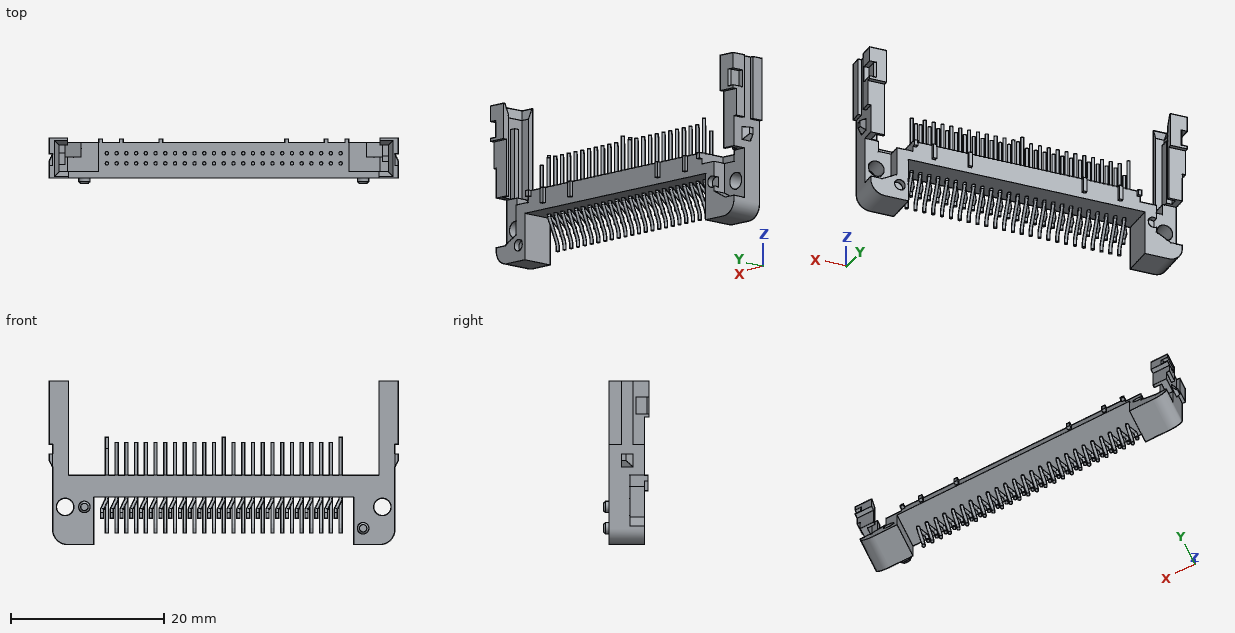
import cadquery as cq


body_half = 22.35
body_depth = 4.65
frame_top = 21.35
bar_bottom = 6.2
bar_top = 9.05
arm_inner = 20.25
arm_back_inner = 20.35
leg_inner = 16.95
leg_corner_radius = 1.95

pad_thickness = 0.45
pad_outer = body_half + pad_thickness
pad_bottom = 13.1
pad_gap_front = 1.65
pad_gap_back = 3.15
flange_depth = 5.25
flange_bottom = 16.65
channel_outer = 21.45
channel_front = 0.8
channel_back = 4.3
channel_floor = bar_top
funnel_widening = 0.65
funnel_depth = 1.5
notch_bottom = 17.05
notch_top = 19.28
notch_front = 3.5
notch_floor = 22.1
notch_bevel = 0.27
key_inner = 20.7
key_top = 18.35
left_key_span = (1.8, 3.3)
right_key_span = (2.2, 2.85)

latch_bottom = 10.1
latch_top = 11.85
latch_flat_bottom = 11.0
latch_flat_back = 2.25

housing_half = 16.3
pocket_floor = 7.55
side_cut_front = 2.75
side_cut_inner = 18.6
foot_top = 2.45
foot_ramp_top = 3.6

hole_x = 20.7
hole_z = 4.9
hole_diameter = 2.25
left_peg_place = (-18.2, hole_z)
right_peg_place = (18.2, 2.15)
peg_diameter = 1.5
peg_length = 0.75
peg_chamfer = 0.27
peg_socket_depth = 0.8

rib_back = 5.1
rib_width = 0.5
end_rib_bottom = 8.3
inner_rib_bottom = 7.0
inner_rib_places = (8.2, 13.35)

pins_per_row = 25
pin_row_length = 30.5
pin_pitch = pin_row_length / (pins_per_row - 1)
pin_diameter = 0.435
front_row_y = 1.9
back_row_y = 3.25
pin_top = 13.35
long_pin_top = 14.05
short_pin_top = 12.55
middle_pin = pins_per_row // 2
last_pin = pins_per_row - 1
front_row_tops = {0: short_pin_top, middle_pin: long_pin_top, last_pin: long_pin_top}
back_row_tops = {0: long_pin_top, middle_pin: long_pin_top, last_pin: short_pin_top}
tail_root_z = 5.92
front_tail_bend = (0.45, 2.7)
front_tail_foot = (0.3, 2.1)
front_tail_end_z = 1.5
back_jog_z = 7.75
back_tail_root_y = 1.65
back_tail_shift = -pin_pitch / 2
back_tail_bend = (0.8, 4.6)
back_tail_foot = (0.27, 4.1)
back_tail_end_z = 3.4


def block(x_span, y_span, z_span):
    """A box between two limits along each axis."""
    (x0, x1), (y0, y1), (z0, z1) = x_span, y_span, z_span
    return cq.Workplane("XY").box(x1 - x0, y1 - y0, z1 - z0, centered=False).translate((x0, y0, z0))


def right_and_left(shape):
    """A shape made for the +X side, together with its mirror image."""
    return shape.union(shape.mirror("YZ"))


def frame_plate():
    """The extruded outline: legs, crossbar and arms."""
    outline = [
        (-body_half, 0),
        (-leg_inner, 0),
        (-leg_inner, bar_bottom),
        (leg_inner, bar_bottom),
        (leg_inner, 0),
        (body_half, 0),
        (body_half, frame_top),
        (arm_inner, frame_top),
        (arm_inner, bar_top),
        (-arm_inner, bar_top),
        (-arm_inner, frame_top),
        (-body_half, frame_top),
    ]
    plate = cq.Workplane("XZ").polyline(outline).close().extrude(-body_depth)
    leg_corners = plate.faces("<Z").edges("|Y").edges("<X or >X")
    return leg_corners.fillet(leg_corner_radius)


def arm_additions():
    """The raised outer pads and the thicker top of the back wall of one arm."""
    pad_heights = (pad_bottom, frame_top)
    front_pad = block((body_half, pad_outer), (0, pad_gap_front), pad_heights)
    back_pad = block((body_half, pad_outer), (pad_gap_back, body_depth), pad_heights)
    flange = block((arm_inner, pad_outer), (body_depth, flange_depth), (flange_bottom, frame_top))
    return front_pad.union(back_pad).union(flange)


def latch():
    """A latch bump that slopes away downwards and towards the back."""
    side = [
        (body_half, latch_bottom),
        (pad_outer, latch_flat_bottom),
        (pad_outer, latch_top),
        (body_half, latch_top),
    ]
    plan = [
        (body_half, pad_gap_front),
        (pad_outer, pad_gap_front),
        (pad_outer, latch_flat_back),
        (body_half, pad_gap_back),
    ]
    side_prism = cq.Workplane("XZ").polyline(side).close().extrude(-body_depth)
    plan_prism = cq.Workplane("XY").polyline(plan).close().extrude(frame_top)
    return side_prism.intersect(plan_prism)


def back_wall_trim():
    """The strip by which the back wall of one arm is narrower than its front wall."""
    x_span = (arm_inner, arm_back_inner)
    return block(x_span, (channel_front, flange_depth), (bar_top, frame_top))


def channel():
    """The card channel of one arm, widening into a funnel at the top."""
    slot = block(
        (arm_inner, channel_outer), (channel_front, channel_back), (channel_floor, frame_top)
    )
    lower = [
        (arm_inner, channel_front),
        (channel_outer, channel_front),
        (channel_outer, channel_back),
        (arm_inner, channel_back),
    ]
    upper = [
        (arm_inner, channel_front - funnel_widening),
        (channel_outer + funnel_widening, channel_front - funnel_widening),
        (channel_outer + funnel_widening, channel_back + funnel_widening),
        (arm_inner, channel_back + funnel_widening),
    ]
    funnel = (
        cq.Workplane("XY", origin=(0, 0, frame_top - funnel_depth))
        .polyline(lower)
        .close()
        .workplane(offset=funnel_depth)
        .polyline(upper)
        .close()
        .loft(ruled=True)
    )
    return slot.union(funnel)


def notch():
    """The pocket in the outer back corner of one arm, bevelled at the back."""
    plan = [
        (pad_outer, notch_front),
        (notch_floor, notch_front),
        (notch_floor, flange_depth - notch_bevel),
        (notch_floor - notch_bevel, flange_depth),
        (pad_outer, flange_depth),
    ]
    prism = cq.Workplane("XY", origin=(0, 0, notch_bottom)).polyline(plan).close()
    return prism.extrude(notch_top - notch_bottom)


def pocket():
    """The opening between one arm and the pin housing, and the open back of the leg below it."""
    pocket_depths = (channel_front, body_depth)
    top_pocket = block((housing_half, arm_back_inner), pocket_depths, (pocket_floor, bar_top))
    open_back = [
        (body_half, foot_top),
        (key_inner, foot_top),
        (side_cut_inner, foot_ramp_top),
        (side_cut_inner, bar_top),
        (body_half, bar_top),
    ]
    side_cut = (
        cq.Workplane("XZ", origin=(0, side_cut_front, 0))
        .polyline(open_back)
        .close()
        .extrude(side_cut_front - body_depth)
    )
    return top_pocket.union(side_cut)


def screw_hole():
    """The through hole for the screw in one leg."""
    return cq.Workplane("XZ").center(hole_x, hole_z).circle(hole_diameter / 2).extrude(-body_depth)


def key(y_span):
    """The card keying rail for the channel of the +X arm."""
    return block((key_inner, channel_outer), y_span, (channel_floor, key_top))


def peg(place):
    """A chamfered locating peg on the front face."""
    post = cq.Workplane("XZ").center(*place).circle(peg_diameter / 2).extrude(peg_length)
    return post.faces("<Y").chamfer(peg_chamfer)


def peg_socket(place):
    """A blind hole in the back of the frame, in line with a peg."""
    back = cq.Workplane("XZ", origin=(0, body_depth, 0))
    return back.center(*place).circle(peg_diameter / 2).extrude(peg_socket_depth)


def back_ribs():
    """The thin ribs on the back of one half of the housing."""
    rib_depths = (body_depth, rib_back)
    ribs = block((housing_half - rib_width, housing_half), rib_depths, (end_rib_bottom, bar_top))
    for place in inner_rib_places:
        x_span = (place - rib_width / 2, place + rib_width / 2)
        ribs = ribs.union(block(x_span, rib_depths, (inner_rib_bottom, bar_top)))
    return ribs


def pin(points):
    """A round pin along the given points, which begin straight downwards."""
    path = cq.Workplane("XY").polyline([cq.Vector(*point) for point in points])
    section = cq.Workplane("XY", origin=points[0]).circle(pin_diameter / 2)
    return section.sweep(path, transition="right").val()


def front_pin(x, top):
    """A front row pin, whose tail bends forwards to a short upright foot."""
    foot_y = front_tail_foot[0]
    return pin(
        [
            (x, front_row_y, top),
            (x, front_row_y, tail_root_z),
            (x, *front_tail_bend),
            (x, *front_tail_foot),
            (x, foot_y, front_tail_end_z),
        ]
    )


def back_pin(x, top):
    """A back row pin: it jogs forwards inside the housing and its tail steps half a pitch sideways."""
    tail_x = x + back_tail_shift
    foot_y = back_tail_foot[0]
    return pin(
        [
            (x, back_row_y, top),
            (x, back_row_y, back_jog_z),
            (x, back_tail_root_y, tail_root_z),
            (tail_x, *back_tail_bend),
            (tail_x, *back_tail_foot),
            (tail_x, foot_y, back_tail_end_z),
        ]
    )


def pins():
    """Both rows of pins."""
    solids = []
    for index in range(pins_per_row):
        x = (index - middle_pin) * pin_pitch
        solids.append(front_pin(x, front_row_tops.get(index, pin_top)))
        solids.append(back_pin(x, back_row_tops.get(index, pin_top)))
    return solids


frame = frame_plate().union(right_and_left(arm_additions())).union(right_and_left(latch()))
frame = frame.cut(right_and_left(channel())).cut(right_and_left(notch()))
frame = frame.union(key(right_key_span)).union(key(left_key_span).mirror("YZ"))
frame = frame.cut(right_and_left(pocket())).cut(right_and_left(back_wall_trim()))
frame = frame.cut(right_and_left(screw_hole())).union(right_and_left(back_ribs()))
for place in (left_peg_place, right_peg_place):
    frame = frame.union(peg(place)).cut(peg_socket(place))

result = cq.Workplane("XY").newObject([frame.val().fuse(*pins())])